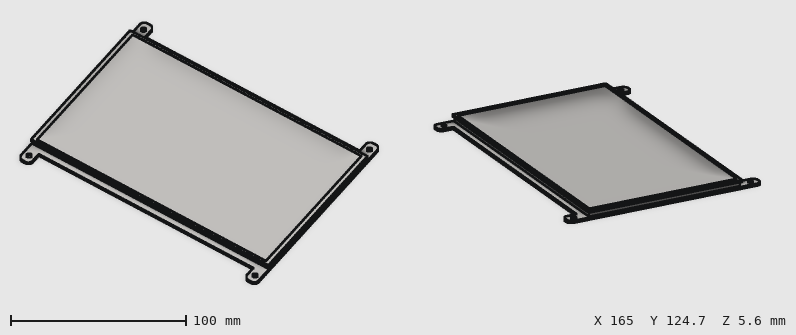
import cadquery as cq

length = 165.0
width_over_ears = 124.7
board_thickness = 1.5
ear_width = 7.9
ear_reach = 9.0
ear_corner_radius = 3.0
hole_diameter = 3.0
hole_end_distance = 5.1
board_width = width_over_ears - 2 * ear_reach

total_height = 5.6
panel_thickness = 1.3
panel_width = 99.1
core_inset_x = 1.2
core_inset_y = 0.7
core_height = total_height - board_thickness - panel_thickness

window_margin_x = 3.0
window_margin_y = 1.8
window_depth = 0.2

ear_center_x = (length - ear_width) / 2
hole_center_y = width_over_ears / 2 - hole_end_distance


def slab(size_x, size_y, height, bottom):
    """Rectangular plate centred on the Z axis, standing on the given level."""
    return cq.Workplane("XY").workplane(offset=bottom).rect(size_x, size_y).extrude(height)


def ear_strip(center_x):
    """Strip across the full width whose rounded ends form two ears."""
    strip = slab(ear_width, width_over_ears, board_thickness, 0)
    return strip.edges("|Z").fillet(ear_corner_radius).translate((center_x, 0, 0))


def make_board():
    board = slab(length, board_width, board_thickness, 0)
    for side in (-1, 1):
        board = board.union(ear_strip(side * ear_center_x))
    holes = (
        cq.Workplane("XY")
        .rect(2 * ear_center_x, 2 * hole_center_y, forConstruction=True)
        .vertices()
        .circle(hole_diameter / 2)
        .extrude(board_thickness)
    )
    return board.cut(holes)


def make_display():
    core = slab(length - 2 * core_inset_x, panel_width - 2 * core_inset_y, core_height, board_thickness)
    panel = slab(length, panel_width, panel_thickness, board_thickness + core_height)
    window = slab(
        length - 2 * window_margin_x,
        panel_width - 2 * window_margin_y,
        window_depth,
        total_height - window_depth,
    )
    return core.union(panel.cut(window))


result = make_board().union(make_display())